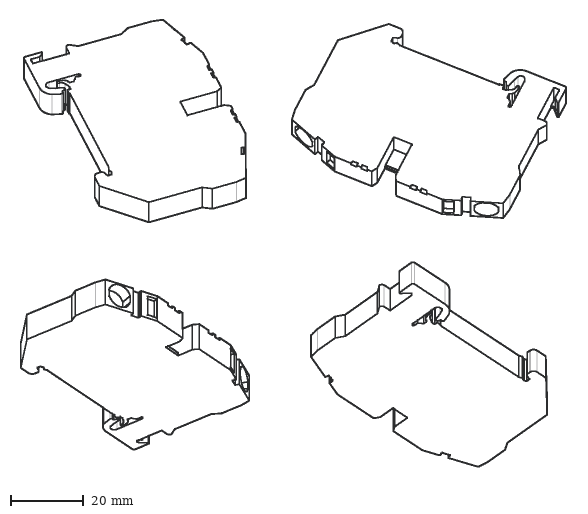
import cadquery as cq
import math

half_width = 32.5
height = 46.8
thickness = 8.1

ridge_half_width = 16.25
shoulder_end_x = 32.0
shoulder_end_y = 40.95
upper_lip_x = 21.1
notch_step_y = 44.4
notch_inner = (20.9, 43.75)
notch_outer = (23.15, 42.95)
lower_lip_x = 23.5
side_top = 37.8
side_bottom = 30.8
waist_half_width = 31.0
waist_top = 28.35

waist_bottom = 15.6
rail_ceiling = 7.1
rail_pad = 6.8
clip_throat = 12.35
leg_left = -29.3
leg_right = -21.1
foot_bottom = 2.15
foot_left = 15.65
foot_radius = 1.3
clip_corner_radius = 0.6

slot_left = -1.35
slot_right = 4.15
slot_floor = 34.3
slot_mouth_flare = 0.9
slot_mouth_depth = 1.6
web_top = 40.2
web_thickness = 1.3
web_chamfer = 0.4

groove_inner_edge = 6.45
groove_outer_edge = 11.5
groove_width = 1.9
groove_side_slope = 0.3
groove_depth = 0.8

label_pocket_start = 0.25
label_pocket_length = 2.9
label_pocket_height = 6.05
label_pocket_depth = 1.3
wire_hole_middle = 12.15
wire_hole_radius = 3.5
wire_hole_flat = 2.15
wire_hole_depth = 3.9
wire_hole_z = 4.3

recess_left = -31.0
recess_bottom = 1.6
recess_top = 5.2
recess_floor_z = 1.0


def shoulder_point(x):
    """Point on the right shoulder line."""
    slope = (height - shoulder_end_y) / (shoulder_end_x - ridge_half_width)
    return (x, height - slope * (x - ridge_half_width))


def upper_right_points():
    """Right half of the upper profile, from the flat top down to the waist."""
    return [
        (ridge_half_width, height),
        shoulder_point(upper_lip_x),
        (upper_lip_x, notch_step_y),
        (notch_inner[0], notch_step_y),
        notch_inner,
        notch_outer,
        shoulder_point(lower_lip_x),
        shoulder_point(shoulder_end_x),
        (half_width, side_top),
        (half_width, side_bottom),
        (waist_half_width, waist_top),
    ]


def add_lines(outline, points):
    for x, y in points:
        outline = outline.lineTo(x, y)
    return outline


def add_foot(outline):
    """Fixed hook on the right, ending at the pad below the rail edge."""
    outline = add_lines(outline, [(waist_half_width, 12.7), (20.4, foot_bottom)])
    outline = outline.lineTo(foot_left + foot_radius, foot_bottom)
    diagonal = foot_radius * (1 - math.sqrt(0.5))
    outline = outline.threePointArc(
        (foot_left + diagonal, foot_bottom + diagonal),
        (foot_left, foot_bottom + foot_radius),
    )
    outline = outline.lineTo(foot_left, 3.9)
    outline = outline.threePointArc((15.8, 4.8), (16.4, 5.25))
    return add_lines(outline, [
        (17.55, 5.65),
        (17.55, rail_pad),
        (16.85, rail_ceiling),
        (16.5, rail_ceiling),
        (15.8, 6.7),
        (14.8, rail_ceiling),
    ])


def add_spring_finger(outline):
    """Thin finger hanging beside the clip leg, with a relief above it."""
    outline = add_lines(outline, [
        (-15.2, rail_ceiling),
        (-15.2, rail_pad),
        (-16.65, rail_pad),
        (-16.65, 7.85),
        (-17.6, 7.85),
        (-19.05, 7.1),
    ])
    outline = outline.threePointArc((-19.55, 6.6), (-19.8, 5.8))
    return add_lines(outline, [
        (-19.95, 5.25),
        (-20.55, 5.25),
        (-20.55, 6.45),
        (-20.2, 7.7),
        (-19.7, 8.2),
        (-19.0, 8.5),
        (-19.0, 9.75),
        (-20.35, 10.7),
        (-20.35, clip_throat),
        (-20.85, clip_throat),
        (leg_right, clip_throat - 0.4),
    ])


def add_clip(outline):
    """Clip leg with a curled tongue on the right and a barbed hook on the left."""
    outline = outline.lineTo(leg_right, 3.1)
    outline = outline.threePointArc((-20.1, 1.95), (-18.9, 2.65))
    outline = add_lines(outline, [(-18.4, 4.0), (-17.75, 6.45), (-17.0, 6.45), (-16.65, 5.45)])
    outline = outline.lineTo(-16.05, 5.45)
    outline = outline.threePointArc((-15.85, 5.3), (-15.8, 4.75))
    outline = outline.lineTo(-16.6, 2.3)
    outline = outline.threePointArc((-18.15, 0.6), (-20.35, 0))
    outline = outline.lineTo(clip_corner_radius - half_width, 0)
    diagonal = clip_corner_radius * (1 - math.sqrt(0.5))
    outline = outline.threePointArc(
        (diagonal - half_width, diagonal), (-half_width, clip_corner_radius)
    )
    outline = add_lines(outline, [(-half_width, 5.45), (-32.05, 5.45), (-30.2, 3.5)])
    outline = outline.threePointArc((-29.85, 3.4), (leg_left, 3.7))
    outline = add_lines(outline, [(leg_left, clip_throat), (-31.65, clip_throat)])
    return outline.threePointArc((-32.25, 12.7), (-half_width, 13.3))


def make_plate():
    """Flat plate with the full outer profile."""
    right = upper_right_points()
    left = [(-x, y) for x, y in reversed(right)]
    outline = cq.Workplane("XY").moveTo(*right[0])
    outline = add_lines(outline, right[1:])
    outline = add_foot(outline)
    outline = add_spring_finger(outline)
    outline = add_clip(outline)
    outline = add_lines(outline, [(-waist_half_width, waist_bottom)] + left)
    return outline.close().extrude(thickness)


def make_slot():
    """Flared slot, cut through except for a thin web with a chamfered top."""
    mouth = height - slot_mouth_depth
    slot = (
        cq.Workplane("XY")
        .polyline([
            (slot_left, slot_floor),
            (slot_right, slot_floor),
            (slot_right, mouth),
            (slot_right + slot_mouth_flare, height),
            (slot_left - slot_mouth_flare, height),
            (slot_left, mouth),
        ])
        .close()
        .extrude(thickness)
    )
    web = (
        cq.Workplane("XY", origin=(slot_left, slot_floor, 0))
        .box(slot_right - slot_left, web_top - slot_floor, web_thickness, centered=False)
        .faces(">Y").edges(">Z").chamfer(web_chamfer)
    )
    return slot.cut(web)


def make_groove(straight_x, direction):
    """Groove running out at 45 degrees; its leaning wall lies in the given X direction."""
    far_x = straight_x + direction * groove_width
    floor_x = far_x - direction * groove_side_slope
    prism = (
        cq.Workplane("XY", origin=(0, 0, thickness - groove_depth))
        .polyline([
            (straight_x, height),
            (far_x, height),
            (floor_x, height - groove_depth),
            (straight_x, height - groove_depth),
        ])
        .close()
        .extrude(groove_depth)
    )
    wedge = (
        cq.Workplane("YZ", origin=(min(straight_x, far_x), 0, 0))
        .polyline([
            (height, thickness - groove_depth),
            (height, thickness),
            (height - groove_depth, thickness),
        ])
        .close()
        .extrude(groove_width)
    )
    return prism.intersect(wedge)


def shoulder_plane(distance, z):
    """Plane on the right shoulder, at a distance down from the flat top edge."""
    angle = math.atan2(height - shoulder_end_y, shoulder_end_x - ridge_half_width)
    return cq.Plane(
        origin=(
            ridge_half_width + distance * math.cos(angle),
            height - distance * math.sin(angle),
            z,
        ),
        xDir=(math.cos(angle), -math.sin(angle), 0),
        normal=(math.sin(angle), math.cos(angle), 0),
    )


def make_label_pocket():
    """Shallow rectangular pocket just below the flat top edge."""
    middle = label_pocket_start + label_pocket_length / 2
    plane = shoulder_plane(middle, thickness / 2)
    return cq.Workplane(plane).box(
        label_pocket_length, label_pocket_height, 2 * label_pocket_depth
    )


def make_wire_hole():
    """Blind round hole with a flat wall at its upper and lower ends."""
    plane = shoulder_plane(wire_hole_middle, wire_hole_z)
    flat_distance = 2 * math.sqrt(wire_hole_radius**2 - (wire_hole_flat / 2) ** 2)
    bore = cq.Workplane(plane).circle(wire_hole_radius).extrude(wire_hole_depth, both=True)
    limits = cq.Workplane(plane).box(
        flat_distance, 2 * wire_hole_radius, 2 * wire_hole_depth
    )
    return bore.intersect(limits)


def make_clip_recess():
    """Blind recess behind the barb of the clip hook."""
    return cq.Workplane("XY", origin=(recess_left, recess_bottom, recess_floor_z)).box(
        leg_left - recess_left,
        recess_top - recess_bottom,
        thickness - recess_floor_z,
        centered=False,
    )


result = make_plate().cut(make_slot()).cut(make_clip_recess())
for opening in (make_label_pocket(), make_wire_hole()):
    result = result.cut(opening).cut(opening.mirror("YZ"))
for side in (-1, 1):
    inner_groove = make_groove(side * (groove_inner_edge + groove_width), -side)
    outer_groove = make_groove(side * (groove_outer_edge - groove_width), side)
    result = result.cut(inner_groove).cut(outer_groove)